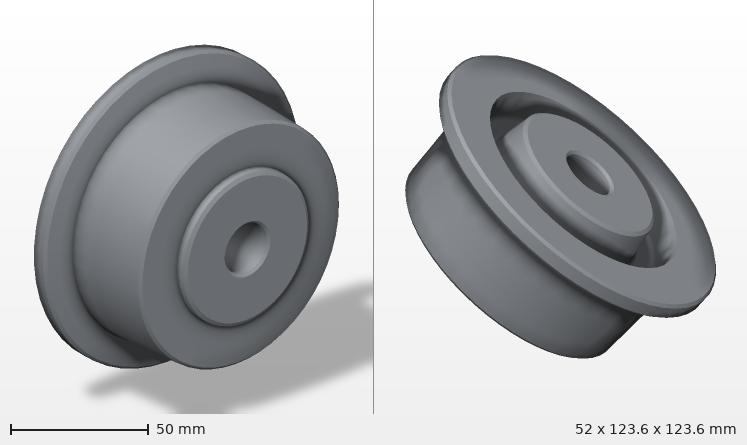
import cadquery as cq

width = 52.0
flange_radius = 61.8
flange_face_x = 3.8
flange_rim_end_x = 11.0
edge_chamfer = 1.1

tread_start_x = 13.1
tread_end_x = 48.2
tread_root_radius = 50.1
tread_end_radius = 48.3

hub_edge_radius = 30.1
hub_chamfer_depth = 1.0
hub_face_radius = 28.7
bore_radius = 10.0
bore_chamfer = 1.0

recess_floor_x = 16.3
recess_outer_radius = 43.0
recess_outer_floor_radius = 41.2
recess_hub_floor_radius = 32.9
recess_fillet = 2.0

hub_draft = (recess_hub_floor_radius - hub_edge_radius) / (recess_floor_x - hub_chamfer_depth)
right_hub_length = width - hub_chamfer_depth - tread_end_x
right_hub_base_radius = hub_edge_radius + hub_draft * right_hub_length


def revolve_about_x(profile):
    return profile.revolve(360, (0, 0, 0), (1, 0, 0))


def make_body():
    """Solid of revolution with flange, tread, recess and both hub ends."""
    profile = (
        cq.Workplane("XY")
        .moveTo(0, 0)
        .lineTo(0, hub_face_radius)
        .lineTo(hub_chamfer_depth, hub_edge_radius)
        .lineTo(recess_floor_x, recess_hub_floor_radius)
        .lineTo(recess_floor_x, recess_outer_floor_radius)
        .lineTo(flange_face_x, recess_outer_radius)
        .lineTo(flange_face_x, flange_radius - edge_chamfer)
        .lineTo(flange_face_x + edge_chamfer, flange_radius)
        .lineTo(flange_rim_end_x - edge_chamfer, flange_radius)
        .lineTo(flange_rim_end_x, flange_radius - edge_chamfer)
        .lineTo(tread_start_x, tread_root_radius)
        .lineTo(tread_end_x - edge_chamfer, tread_end_radius)
        .lineTo(tread_end_x, tread_end_radius - edge_chamfer)
        .lineTo(tread_end_x, right_hub_base_radius)
        .lineTo(width - hub_chamfer_depth, hub_edge_radius)
        .lineTo(width, hub_face_radius)
        .lineTo(width, 0)
        .close()
    )
    body = revolve_about_x(profile)
    recess_floor = body.faces("-X").faces(">X")
    return recess_floor.edges().fillet(recess_fillet)


def make_bore():
    """Through bore with a chamfer at each end."""
    mouth_radius = bore_radius + bore_chamfer
    profile = (
        cq.Workplane("XY")
        .moveTo(0, 0)
        .lineTo(0, mouth_radius)
        .lineTo(bore_chamfer, bore_radius)
        .lineTo(width - bore_chamfer, bore_radius)
        .lineTo(width, mouth_radius)
        .lineTo(width, 0)
        .close()
    )
    return revolve_about_x(profile)


result = make_body().cut(make_bore())